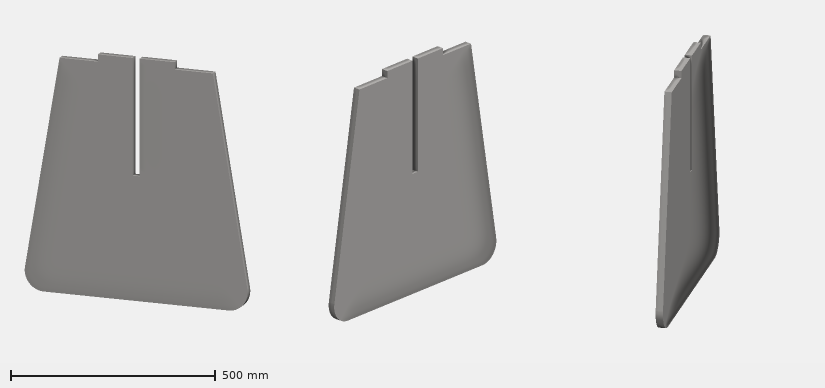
import cadquery as cq

thickness = 18.5
total_height = 618.5
base_width = 600.0
shoulder_width = 400.0
tab_width = 200.0
slot_depth = 300.0
corner_radius = 50.0

tab_height = thickness
slot_width = thickness
shoulder_height = total_height - tab_height


def centred_block(width, height, bottom):
    """Block of plate thickness, centred on X and Y, standing at the given height."""
    return (
        cq.Workplane("XY")
        .workplane(offset=bottom)
        .box(width, thickness, height, centered=(True, True, False))
    )


plate = (
    cq.Workplane("XZ")
    .moveTo(-base_width / 2, 0)
    .lineTo(base_width / 2, 0)
    .lineTo(shoulder_width / 2, shoulder_height)
    .lineTo(-shoulder_width / 2, shoulder_height)
    .close()
    .extrude(thickness / 2, both=True)
    .faces("<Z")
    .edges("|Y")
    .fillet(corner_radius)
)

tab = centred_block(tab_width, tab_height, shoulder_height)
slot = centred_block(slot_width, slot_depth, total_height - slot_depth)

result = plate.union(tab).cut(slot)